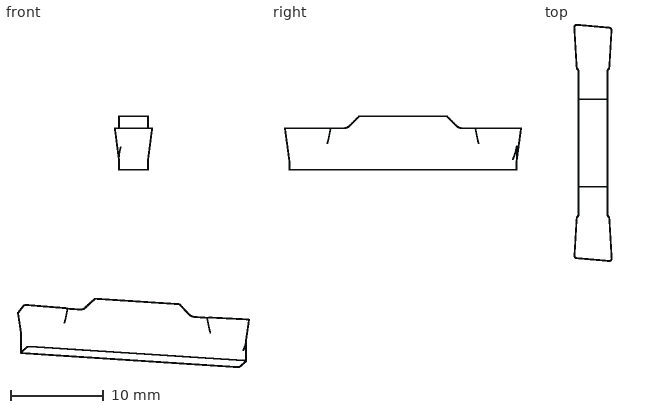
import cadquery as cq
import math


shank_width = 3.13
shank_length = 24.45
shank_height = 5.79
deck_height = 4.48
corner_radius = 0.3

crown_half_length = 4.7
crown_slope = 45.0
crown_foot_radius = 1.0

head_width = 4.05
overall_length = 25.45
relief_angle = 7.0
flank_angle = 3.4
edge_angle = 5.0
step_angle = 37.0
step_radius = 0.3
step_front_y = 8.05
step_overlap = 0.6


def make_shank():
    """Shank with the sloped crown on top and rounded upright corners."""
    half_length = shank_length / 2
    foot_y = crown_half_length + (shank_height - deck_height) / math.tan(math.radians(crown_slope))
    profile = [
        (-half_length, 0),
        (half_length, 0),
        (half_length, deck_height),
        (foot_y, deck_height),
        (crown_half_length, shank_height),
        (-crown_half_length, shank_height),
        (-foot_y, deck_height),
        (-half_length, deck_height),
    ]
    shank = cq.Workplane("YZ").polyline(profile).close().extrude(shank_width / 2, both=True)
    for foot in [(0, -foot_y, deck_height), (0, foot_y, deck_height)]:
        shank = shank.edges(cq.selectors.NearestToPointSelector(foot)).fillet(crown_foot_radius)
    end_corners = shank.faces("<Y or >Y").edges("|Z")
    return end_corners.fillet(corner_radius)


def drafted_edges(head, y_min, y_max):
    """Edges running down the head whose middles lie between y_min and y_max."""
    region = cq.selectors.BoxSelector((-head_width, y_min, 0), (head_width, y_max, deck_height))
    return head.edges("not #Z").edges(region)


def make_head():
    """Head at the +Y end, its long corner on the -X side."""
    flank = math.radians(flank_angle)
    skew = math.radians(edge_angle)
    step = math.radians(step_angle)

    centre_x = head_width / 2 - corner_radius
    centre_y = overall_length / 2 - corner_radius

    flank_at_zero = centre_x + corner_radius / math.cos(flank) - centre_y * math.tan(flank)
    edge_at_zero = centre_y + corner_radius / math.cos(skew) - centre_x * math.tan(skew)

    def flank_x(y):
        return flank_at_zero + y * math.tan(flank)

    def edge_corner(side):
        """Sharp corner of cutting edge and flank on the given side, +1 or -1."""
        y = (edge_at_zero - side * flank_at_zero * math.tan(skew)) / (
            1 + side * math.tan(flank) * math.tan(skew)
        )
        return (side * flank_x(y), y)

    step_x = flank_x(step_front_y)
    inner_x = step_x - step_overlap
    inner_y = step_front_y - step_overlap / math.tan(step)
    outline = [
        (-inner_x, inner_y),
        (inner_x, inner_y),
        (step_x, step_front_y),
        edge_corner(1),
        edge_corner(-1),
        (-step_x, step_front_y),
    ]
    head = (
        cq.Workplane("XY", origin=(0, 0, deck_height))
        .polyline(outline)
        .close()
        .extrude(-deck_height, taper=relief_angle)
    )
    nose_edges = drafted_edges(head, step_front_y + step_overlap, overall_length / 2)
    head = nose_edges.fillet(corner_radius)
    step_edges = drafted_edges(head, step_front_y - step_overlap / 2, step_front_y + step_overlap)
    return step_edges.fillet(step_radius)


head = make_head()
turned_head = head.rotate((0, 0, 0), (0, 0, 1), 180)
result = make_shank().union(head).union(turned_head)